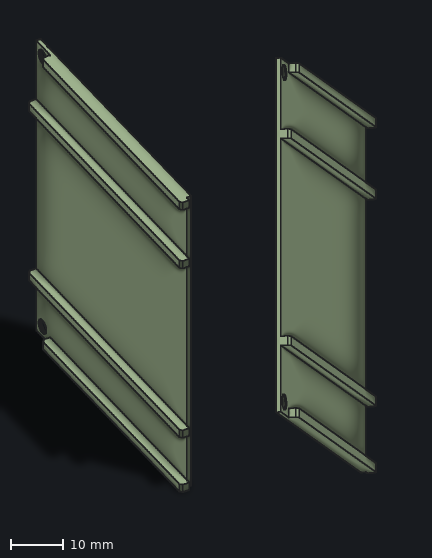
import cadquery as cq

overall_length = 58.8
overall_depth = 2.9
plate_height = 69.3

plate_thickness = 1.0
rail_overhang = 1.0
plate_length = overall_length - rail_overhang

rail_depth = overall_depth - plate_thickness
rail_chamfer = 0.5
rail_height = 1.8
edge_rail_start = 5.4
lower_inner_rail_bottom = 13.0
upper_inner_rail_bottom = 53.5

hole_diameter = 3.0
hole_inset = 2.4
countersink_depth = 0.7
countersink_diameter = hole_diameter + 2 * countersink_depth


def make_plate():
    """Flat plate with its -Y face at Y = 0 and a corner at the origin."""
    return cq.Workplane("XY").box(plate_length, plate_thickness, plate_height, centered=False)


def make_rail(start, bottom):
    """Rail along X with both ends chamfered on the -Y side."""
    length = overall_length - start
    rail = cq.Workplane("XY").box(length, rail_depth, rail_height, centered=False)
    rail = rail.faces("<Y").edges("|Z").chamfer(rail_chamfer)
    return rail.translate((start, -rail_depth, bottom))


def make_hole(height):
    """Cutter for one hole through the plate, countersunk on the +Y face."""
    axis = cq.Vector(0, 1, 0)
    bore_start = cq.Vector(hole_inset, 0, height)
    sink_start = cq.Vector(hole_inset, plate_thickness - countersink_depth, height)
    bore = cq.Solid.makeCylinder(hole_diameter / 2, plate_thickness, bore_start, axis)
    sink = cq.Solid.makeCone(
        hole_diameter / 2, countersink_diameter / 2, countersink_depth, sink_start, axis
    )
    return cq.Workplane(bore).union(cq.Workplane(sink))


result = make_plate()

for bottom in (0, plate_height - rail_height):
    result = result.union(make_rail(edge_rail_start, bottom))

for bottom in (lower_inner_rail_bottom, upper_inner_rail_bottom):
    result = result.union(make_rail(0, bottom))

for height in (hole_inset, plate_height - hole_inset):
    result = result.cut(make_hole(height))